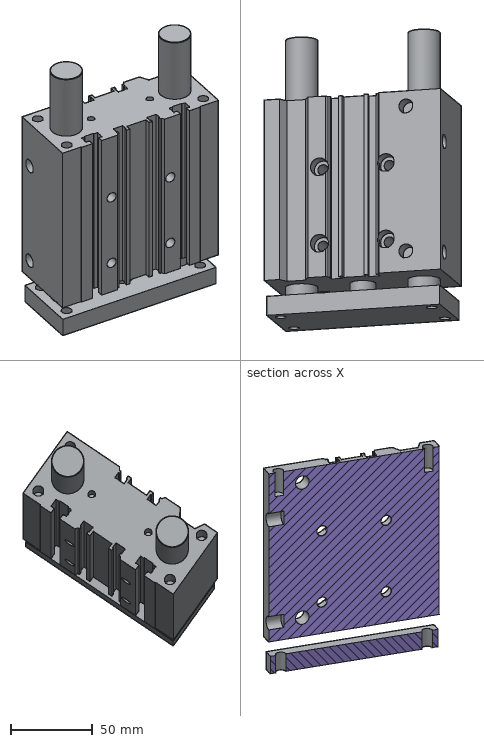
import cadquery as cq

total_height = 177.0
housing_width = 48.0
housing_length = 112.0
housing_bottom = 21.6
housing_top = 135.2
half_width = housing_width / 2
half_length = housing_length / 2
housing_height = housing_top - housing_bottom

plate_width = 44.2
plate_length = 110.1
plate_thickness = 12.0
guide_rod_diameter = 20.0
guide_rod_offset = 39.0
guide_rod_chamfer = 0.4
piston_rod_diameter = 16.0

corner_hole_diameter = 6.5
housing_corner_x = 17.0
housing_corner_y = 49.0
plate_corner_x = 15.0
plate_corner_y = 48.0
housing_corner_hole_depth = 16.0

relief_depth = 0.5
relief_start = 42.8

side_groove_y = 37.3
side_groove_depth = 5.8
side_groove_mouth = 18.0
side_groove_floor = 11.7

t_slot_y = 31.5
t_slot_mouth = 6.5
t_slot_width = 11.3
t_slot_lip = 3.5
t_slot_depth = 8.8
t_slot_relief = 0.5

band_depth = 1.8
band_mouth = 34.0
band_floor = 31.7
switch_slot_y = 12.0
switch_slot_mouth = 5.3
switch_slot_width = 6.7
switch_slot_lip = 3.5
switch_slot_depth = 7.3
centre_groove_width = 13.8
centre_groove_depth = 5.3

mount_hole_diameter = 6.5
mount_bore_diameter = 11.0
mount_bore_depth = 8.8
mount_hole_y = 21.0
mount_hole_heights = (42.8, 91.0)

pilot_diameter = 4.5
pilot_depth = 8.8

port_diameter = 8.7
port_depth = 9.7
side_port_y = -34.0
side_port_heights = (34.5, 125.7)
front_port_x = -15.2
front_port_heights = (34.3, 103.9)


def symmetric_groove(side, centre_y, profile):
    """Groove along Z in one X face; the profile lists (depth below the face, half width) pairs."""
    one_edge = [(side * (half_width - depth), centre_y + half) for depth, half in profile]
    other_edge = [(side * (half_width - depth), centre_y - half) for depth, half in reversed(profile)]
    return (
        cq.Workplane("XY", origin=(0, 0, housing_bottom))
        .polyline(one_edge + other_edge)
        .close()
        .extrude(housing_height)
    )


def hole_along_x(y, z, diameter, depth):
    """Cylinder that enters the -X face."""
    return cq.Workplane("YZ", origin=(-half_width, y, z)).circle(diameter / 2).extrude(depth)


def hole_along_y(x, z, diameter, depth):
    """Cylinder that enters the -Y face."""
    return cq.Workplane("XZ", origin=(x, -half_length, z)).circle(diameter / 2).extrude(-depth)


def upright_cylinders(points, diameter, bottom, top):
    """Cylinders along Z at the given (x, y) points."""
    return (
        cq.Workplane("XY", origin=(0, 0, bottom))
        .pushPoints(points)
        .circle(diameter / 2)
        .extrude(top - bottom)
    )


def corner_points(x, y):
    """The four points mirrored about both axes."""
    return [(side_x * x, side_y * y) for side_x in (-1, 1) for side_y in (-1, 1)]


guide_rod_points = [(0, side * guide_rod_offset) for side in (-1, 1)]


def cut_profile_grooves(body):
    """Cuts the lengthwise grooves of the extruded housing profile."""
    side_groove = [(0, side_groove_mouth / 2), (side_groove_depth, side_groove_floor / 2)]
    body = body.cut(symmetric_groove(-1, side_groove_y, side_groove))

    t_slot = [
        (0, t_slot_mouth / 2),
        (t_slot_lip, t_slot_mouth / 2),
        (t_slot_lip, t_slot_width / 2),
        (t_slot_depth, t_slot_width / 2),
        (t_slot_depth, t_slot_mouth / 2),
        (t_slot_depth + t_slot_relief, t_slot_mouth / 2),
    ]
    for centre_y in (-t_slot_y, t_slot_y):
        body = body.cut(symmetric_groove(1, centre_y, t_slot))

    band = [(0, band_mouth / 2), (band_depth, band_floor / 2)]
    switch_slot = [
        (0, switch_slot_mouth / 2),
        (switch_slot_lip, switch_slot_mouth / 2),
        (switch_slot_lip, switch_slot_width / 2),
        (switch_slot_depth, switch_slot_width / 2),
    ]
    centre_groove = [(0, centre_groove_width / 2), (centre_groove_depth, centre_groove_width / 2)]
    for side in (-1, 1):
        body = body.cut(symmetric_groove(side, 0, band))
        body = body.cut(symmetric_groove(side, 0, centre_groove))
        for centre_y in (-switch_slot_y, switch_slot_y):
            body = body.cut(symmetric_groove(side, centre_y, switch_slot))
    return body


def cut_end_reliefs(body):
    """Steps the +X face back near both Y ends."""
    relief_length = half_length - relief_start
    for side in (-1, 1):
        relief = cq.Workplane("XY").box(relief_depth, relief_length, housing_height).translate(
            (
                half_width - relief_depth / 2,
                side * (relief_start + relief_length / 2),
                housing_bottom + housing_height / 2,
            )
        )
        body = body.cut(relief)
    return body


def cut_mount_holes(body):
    """Cuts the counterbored through holes along X."""
    for y in (-mount_hole_y, mount_hole_y):
        for z in mount_hole_heights:
            body = body.cut(hole_along_x(y, z, mount_hole_diameter, housing_width))
            body = body.cut(hole_along_x(y, z, mount_bore_diameter, mount_bore_depth))
    return body


def cut_ports(body):
    """Cuts the blind ports in the -X and -Y faces."""
    for z in side_port_heights:
        body = body.cut(hole_along_x(side_port_y, z, port_diameter, port_depth))
    for z in front_port_heights:
        body = body.cut(hole_along_y(front_port_x, z, port_diameter, port_depth))
    return body


def cut_vertical_holes(body):
    """Cuts the guide rod bores and the blind holes in the top face."""
    body = body.cut(upright_cylinders(guide_rod_points, guide_rod_diameter, housing_bottom, housing_top))
    corner_hole_bottom = housing_top - housing_corner_hole_depth
    corners = corner_points(housing_corner_x, housing_corner_y)
    body = body.cut(upright_cylinders(corners, corner_hole_diameter, corner_hole_bottom, housing_top))
    pilot_points = [(0, side * mount_hole_y) for side in (-1, 1)]
    return body.cut(upright_cylinders(pilot_points, pilot_diameter, housing_top - pilot_depth, housing_top))


def make_housing():
    """Extruded cylinder housing with its grooves, holes and ports."""
    body = (
        cq.Workplane("XY", origin=(0, 0, housing_bottom))
        .rect(housing_width, housing_length)
        .extrude(housing_height)
    )
    body = cut_profile_grooves(body)
    body = cut_end_reliefs(body)
    body = cut_mount_holes(body)
    body = cut_ports(body)
    return cut_vertical_holes(body)


def make_plate_and_rods():
    """End plate with two guide rods through the housing and a piston rod up to its lower face."""
    plate = cq.Workplane("XY").rect(plate_width, plate_length).extrude(plate_thickness)
    corners = corner_points(plate_corner_x, plate_corner_y)
    plate = plate.cut(upright_cylinders(corners, corner_hole_diameter, 0, plate_thickness))
    guide_rods = upright_cylinders(guide_rod_points, guide_rod_diameter, plate_thickness, total_height)
    guide_rods = guide_rods.faces(">Z").edges().chamfer(guide_rod_chamfer)
    piston_rod = upright_cylinders([(0, 0)], piston_rod_diameter, plate_thickness, housing_bottom)
    return plate.union(guide_rods).union(piston_rod)


housing = make_housing()
plate_and_rods = make_plate_and_rods()

result = cq.Compound.makeCompound([housing.val(), plate_and_rods.val()])